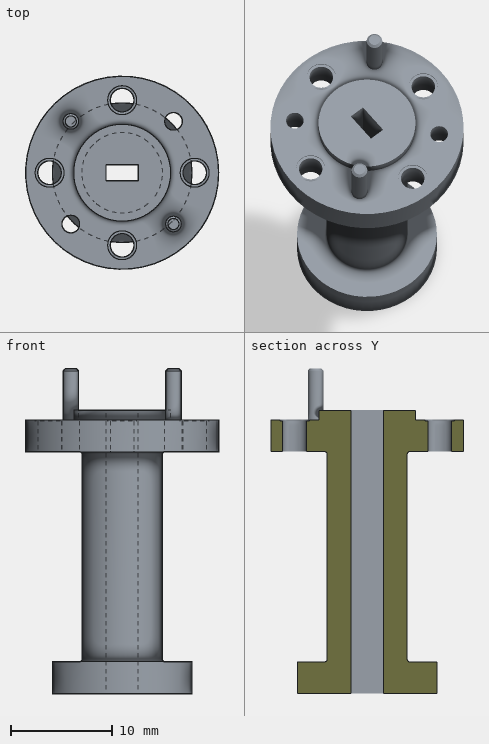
import cadquery as cq
import math

total_height = 32.08
base_thickness = 3.18
flange_bottom = 23.87
flange_thickness = 3.15
flange_top = flange_bottom + flange_thickness
boss_height = 0.95

base_diameter = 13.8
tube_diameter = 7.95
flange_diameter = 19.05
boss_diameter = 9.55
tube_fillet = 0.22

channel_width = 3.15
channel_depth = 1.55

pitch_radius = 7.15
screw_hole_diameter = 2.3
counterbore_diameter = 2.85
counterbore_depth = 0.1
dowel_hole_diameter = 1.73
pin_diameter = 1.55
pin_chamfer = 0.22

screw_angles = (0, 90, 180, 270)
dowel_hole_angles = (45, 225)
pin_angles = (135, 315)


def disc(diameter, bottom, height):
    """Upright cylinder on the part axis."""
    return cq.Workplane("XY").workplane(offset=bottom).circle(diameter / 2).extrude(height)


def on_pitch_circle(shape, angles):
    """Copies of a centred shape, moved out to the pitch circle at each angle."""
    copies = cq.Workplane("XY")
    for angle in angles:
        x = pitch_radius * math.cos(math.radians(angle))
        y = pitch_radius * math.sin(math.radians(angle))
        copies = copies.add(shape.translate((x, y, 0)))
    return copies.combine()


def make_body():
    """Base flange, filleted tube, mating flange and raised boss."""
    tube = disc(tube_diameter, base_thickness, flange_bottom - base_thickness)
    tube_with_flanges = (
        disc(base_diameter, 0, base_thickness)
        .union(tube)
        .union(disc(flange_diameter, flange_bottom, flange_thickness))
    )
    tube_ends = cq.selectors.RadiusNthSelector(0)
    filleted = tube_with_flanges.edges("%CIRCLE").edges(tube_ends).fillet(tube_fillet)
    return filleted.union(disc(boss_diameter, flange_top, boss_height))


def make_screw_hole():
    """Through hole with a shallow counterbore on the mating face."""
    bore = disc(screw_hole_diameter, flange_bottom, flange_thickness)
    counterbore = disc(counterbore_diameter, flange_top - counterbore_depth, counterbore_depth)
    return bore.union(counterbore)


def make_pin():
    """Dowel pin seated through the flange, with a chamfered tip."""
    pin = disc(pin_diameter, flange_bottom, total_height - flange_bottom)
    return pin.faces(">Z").chamfer(pin_chamfer)


dowel_hole = disc(dowel_hole_diameter, flange_bottom, flange_thickness)
channel = cq.Workplane("XY").rect(channel_width, channel_depth).extrude(total_height)

result = (
    make_body()
    .cut(on_pitch_circle(make_screw_hole(), screw_angles))
    .cut(on_pitch_circle(dowel_hole, dowel_hole_angles))
    .cut(channel)
    .union(on_pitch_circle(make_pin(), pin_angles))
)